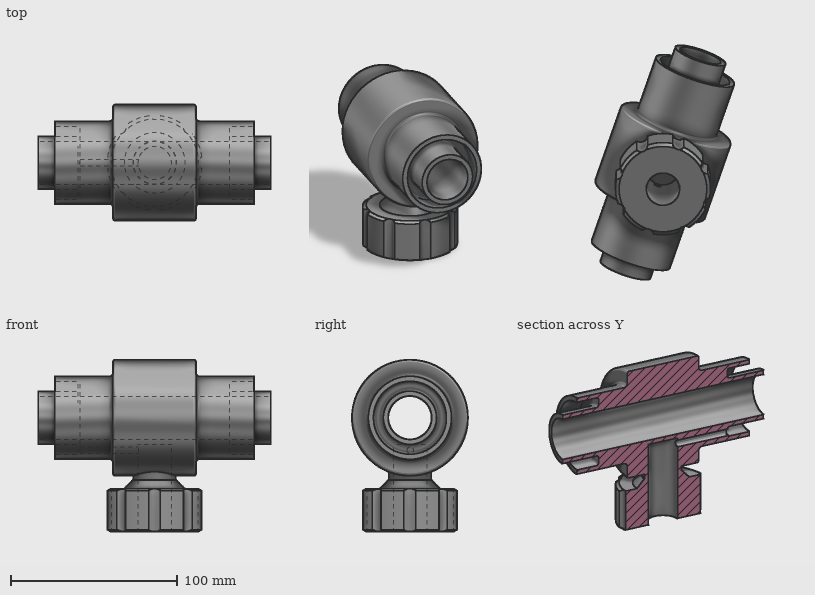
import cadquery as cq
import math

TUBE_LENGTH = 140.0
TUBE_OUTER_DIAMETER = 32.0
TUBE_BORE_DIAMETER = 26.0
SLEEVE_LENGTH = 120.0
SLEEVE_OUTER_DIAMETER = 50.0
SLEEVE_INNER_DIAMETER = 44.0
BODY_LENGTH = 50.0
BODY_DIAMETER = 70.0
BODY_EDGE_FILLET = 1.5
BODY_ROOT_FILLET = 2.0
SELECTION_MARGIN = 0.1

GAP_DEPTH = 15.0
GAP_FLOOR_FILLET = 1.2

PORT_BORE_DIAMETER = 20.0
NECK_DIAMETER = 25.7
COLLAR_DIAMETER = 26.2
COLLAR_TOP_Z = -37.3
CONE_TOP_Z = -37.6
KNOB_TOP_Z = -42.8
KNOB_BOTTOM_Z = -68.5
KNOB_DIAMETER = 57.2
KNOB_CHAMFER_HEIGHT = 1.2
KNOB_CHAMFER_WIDTH = 2.2
GRIP_COUNT = 8
GRIP_WIDTH = 7.2
GRIP_RADIUS = 4.0

LEAK_HOLE_DIAMETER = 4.0
LEAK_HOLE_Z = -19.5

PORT_BORE_TOP_Z = -TUBE_OUTER_DIAMETER / 2
CONE_BASE_RADIUS = COLLAR_DIAMETER / 2 + CONE_TOP_Z - KNOB_TOP_Z


def cylinder_x(diameter, x_start, x_end):
    """Solid cylinder on the X axis."""
    return cq.Workplane("YZ", origin=(x_start, 0, 0)).circle(diameter / 2).extrude(x_end - x_start)


def cylinder_z(diameter, z_start, z_end):
    """Solid cylinder on the Z axis."""
    return cq.Workplane("XY", origin=(0, 0, z_start)).circle(diameter / 2).extrude(z_end - z_start)


def make_pipe():
    """Body and sleeves with rounded edges, before the gaps and the bores are cut."""
    body = cylinder_x(BODY_DIAMETER, -BODY_LENGTH / 2, BODY_LENGTH / 2)
    body = body.faces("<X or >X").edges().fillet(BODY_EDGE_FILLET)
    pipe = body.union(cylinder_x(SLEEVE_OUTER_DIAMETER, -SLEEVE_LENGTH / 2, SLEEVE_LENGTH / 2))
    reach = SLEEVE_OUTER_DIAMETER / 2 + SELECTION_MARGIN
    for x_root in (-BODY_LENGTH / 2, BODY_LENGTH / 2):
        root_edge = cq.selectors.BoxSelector(
            (x_root - SELECTION_MARGIN, -reach, -reach),
            (x_root + SELECTION_MARGIN, reach, reach),
            boundingbox=True,
        )
        pipe = pipe.edges(root_edge).fillet(BODY_ROOT_FILLET)
    return pipe


def make_gap():
    """Ring-shaped void at the -X end, rounded at its floor."""
    x_mouth = -SLEEVE_LENGTH / 2
    ring = cylinder_x(SLEEVE_INNER_DIAMETER, x_mouth, x_mouth + GAP_DEPTH)
    ring = ring.cut(cylinder_x(TUBE_OUTER_DIAMETER, x_mouth, x_mouth + GAP_DEPTH))
    return ring.faces(">X").edges().fillet(GAP_FLOOR_FILLET)


def make_neck():
    """Neck, thin collar and flared cone, revolved about the Z axis."""
    neck_radius = NECK_DIAMETER / 2
    collar_radius = COLLAR_DIAMETER / 2
    return (
        cq.Workplane("XZ")
        .moveTo(0, PORT_BORE_TOP_Z)
        .lineTo(neck_radius, PORT_BORE_TOP_Z)
        .lineTo(neck_radius, COLLAR_TOP_Z)
        .lineTo(collar_radius, COLLAR_TOP_Z)
        .lineTo(collar_radius, CONE_TOP_Z)
        .lineTo(CONE_BASE_RADIUS, KNOB_TOP_Z)
        .lineTo(0, KNOB_TOP_Z)
        .close()
        .revolve(360, (0, 0), (0, 1))
    )


def make_knob():
    """Round knob with chamfered rims and vertical grip grooves."""
    radius = KNOB_DIAMETER / 2
    rim_radius = radius - KNOB_CHAMFER_WIDTH
    knob = (
        cq.Workplane("XZ")
        .moveTo(0, KNOB_TOP_Z)
        .lineTo(rim_radius, KNOB_TOP_Z)
        .lineTo(radius, KNOB_TOP_Z - KNOB_CHAMFER_HEIGHT)
        .lineTo(radius, KNOB_BOTTOM_Z + KNOB_CHAMFER_HEIGHT)
        .lineTo(rim_radius, KNOB_BOTTOM_Z)
        .lineTo(0, KNOB_BOTTOM_Z)
        .close()
        .revolve(360, (0, 0), (0, 1))
    )
    half_width = GRIP_WIDTH / 2
    groove_center = math.sqrt(radius**2 - half_width**2) + math.sqrt(GRIP_RADIUS**2 - half_width**2)
    grooves = (
        cq.Workplane("XY", origin=(0, 0, KNOB_BOTTOM_Z))
        .polarArray(groove_center, 0, 360, GRIP_COUNT)
        .circle(GRIP_RADIUS)
        .extrude(KNOB_TOP_Z - KNOB_BOTTOM_Z)
    )
    return knob.cut(grooves)


def make_leak_hole():
    """Small hole from the floor of the -X gap into the port bore."""
    x_floor = -SLEEVE_LENGTH / 2 + GAP_DEPTH - GAP_FLOOR_FILLET
    return (
        cq.Workplane("YZ", origin=(x_floor, 0, LEAK_HOLE_Z))
        .circle(LEAK_HOLE_DIAMETER / 2)
        .extrude(-x_floor)
    )


gap = make_gap()
result = (
    make_pipe()
    .union(make_neck())
    .union(make_knob())
    .cut(gap)
    .cut(gap.mirror("YZ"))
    .union(cylinder_x(TUBE_OUTER_DIAMETER, -TUBE_LENGTH / 2, TUBE_LENGTH / 2))
    .cut(cylinder_x(TUBE_BORE_DIAMETER, -TUBE_LENGTH / 2, TUBE_LENGTH / 2))
    .cut(cylinder_z(PORT_BORE_DIAMETER, KNOB_BOTTOM_Z, PORT_BORE_TOP_Z))
    .cut(make_leak_hole())
)